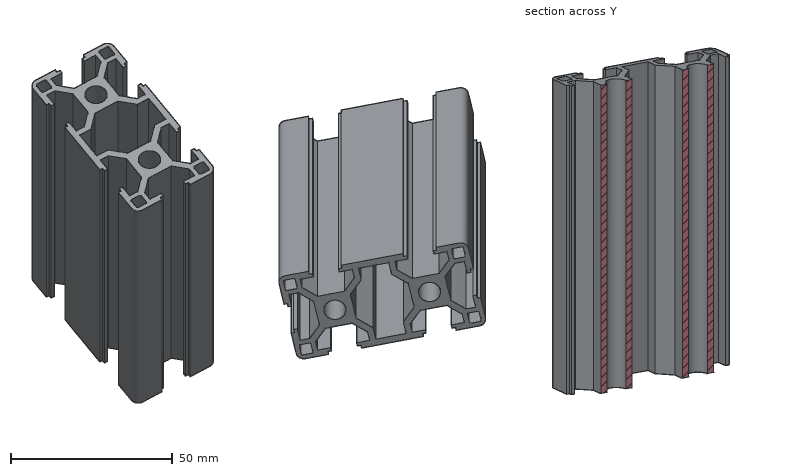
import cadquery as cq
import math

length = 100.0
cell = 30.0
half_cell = cell / 2
corner_radius = 2.5

mouth_half_width = 5.2
throat_half_width = 4.1
step_depth = 1.0
wall = 2.2
slot_width = 16.5
core_half_width = 5.8
rib_thickness = 2.2

bore_diameter = 6.8
corner_wall = 1.5
corner_hole_side = 3.7
corner_hole_radius = 0.5
web_half_span = 4.8

rib_offset = rib_thickness / math.sqrt(2)
slot_half_width = slot_width / 2
lip_inner = half_cell - wall
throat_top = half_cell - step_depth


def prism(points):
    """Closed outline extruded over the full length."""
    return cq.Workplane("XY").polyline(points).close().extrude(length)


def slot(center_x, angle):
    """T-slot of one cell, opening towards +Y before being turned by angle."""
    right_side = [
        (core_half_width - rib_offset, core_half_width),
        (slot_half_width, slot_half_width + rib_offset),
        (slot_half_width, lip_inner),
        (throat_half_width, lip_inner),
        (throat_half_width, throat_top),
        (mouth_half_width, throat_top),
        (mouth_half_width, half_cell),
    ]
    left_side = [(-x, y) for x, y in reversed(right_side)]
    cutter = prism(right_side + left_side)
    return cutter.rotate((0, 0, 0), (0, 0, 1), angle).translate((center_x, 0, 0))


def center_chamber():
    """Closed chamber between the two cores, narrowed by the upper and lower webs."""
    core_face = half_cell - core_half_width
    upper_right = [
        (core_face, core_half_width - rib_offset),
        (web_half_span, half_cell - web_half_span - rib_offset),
        (web_half_span, lip_inner),
    ]
    upper_left = [(-x, y) for x, y in reversed(upper_right)]
    upper = upper_right + upper_left
    lower = [(-x, -y) for x, y in upper]
    return prism(upper + lower)


result = cq.Workplane("XY").box(2 * cell, cell, length, centered=(True, True, False))
result = result.edges("|Z").fillet(corner_radius)

for side in (-1, 1):
    center_x = side * half_cell
    for angle in (0, 180, -90 * side):
        result = result.cut(slot(center_x, angle))

result = result.cut(center_chamber())

bore_centers = [(-half_cell, 0), (half_cell, 0)]
result = result.cut(
    cq.Workplane("XY").pushPoints(bore_centers).circle(bore_diameter / 2).extrude(length)
)

corner_inset = corner_wall + corner_hole_side / 2
corner_centers = [
    (x_side * (cell - corner_inset), y_side * (half_cell - corner_inset))
    for x_side in (-1, 1)
    for y_side in (-1, 1)
]
result = result.cut(
    cq.Workplane("XY")
    .pushPoints(corner_centers)
    .rect(corner_hole_side, corner_hole_side)
    .extrude(length)
    .edges("|Z")
    .fillet(corner_hole_radius)
)